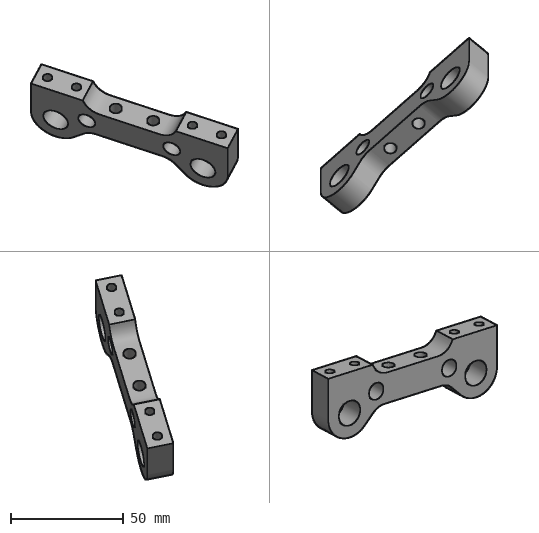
import cadquery as cq
import math

length = 95.0
thickness = 12.0
height = 32.0

lug_radius = thickness
large_bore_diameter = 12.0
lug_x = length / 2 - lug_radius
lug_z = lug_radius

bar_height = 15.0
notch_depth = 6.0
bar_top = height - notch_depth
bar_bottom = bar_top - bar_height
small_bore_diameter = 8.2
small_bore_x = 20.5
small_bore_z = bar_bottom + bar_height / 2

blend_radius = 8.55
notch_half_width = 22.5
notch_wall_angle = math.radians(62)
lug_flank_angle = math.radians(45)

bar_hole_diameter = 5.5
bar_hole_x = 9.0
lug_hole_diameter = 4.2
lug_hole_depth = 12.0
lug_hole_xs = (28.0, 42.0)
drill_tip_angle = math.radians(118)


def half_body():
    """Right half of the plate, from the mid plane out to the lug."""
    notch_corner_x = notch_half_width - notch_depth / math.tan(notch_wall_angle)

    flank_x = lug_x - lug_radius * math.sin(lug_flank_angle)
    flank_z = lug_z - lug_radius * math.cos(lug_flank_angle)
    flank_corner_x = flank_x - (bar_bottom - flank_z) / math.tan(lug_flank_angle)

    outline = (
        cq.Workplane("XZ", origin=(0, thickness / 2, 0))
        .moveTo(0, bar_bottom)
        .lineTo(flank_corner_x, bar_bottom)
        .lineTo(flank_x, flank_z)
        .threePointArc((lug_x, lug_z - lug_radius), (length / 2, lug_z))
        .lineTo(length / 2, height)
        .lineTo(notch_half_width, height)
        .lineTo(notch_corner_x, bar_top)
        .lineTo(0, bar_top)
        .close()
    )
    body = outline.extrude(thickness)
    notch_corner = cq.selectors.NearestToPointSelector((notch_corner_x, 0, bar_top))
    flank_corner = cq.selectors.NearestToPointSelector((flank_corner_x, 0, bar_bottom))
    body = body.edges(notch_corner).fillet(blend_radius)
    return body.edges(flank_corner).fillet(blend_radius)


def cross_bores(diameter, x, z):
    """Mirrored pair of bores running through the plate along Y."""
    return (
        cq.Workplane("XZ", origin=(0, thickness / 2, 0))
        .pushPoints([(-x, z), (x, z)])
        .circle(diameter / 2)
        .extrude(thickness)
    )


def drilled_hole(x):
    """Blind vertical hole with a conical drill tip, cut from a lug top."""
    radius = lug_hole_diameter / 2
    tip_depth = radius / math.tan(drill_tip_angle / 2)
    floor_z = height - lug_hole_depth
    profile = (
        cq.Workplane("XZ")
        .moveTo(0, height)
        .lineTo(radius, height)
        .lineTo(radius, floor_z)
        .lineTo(0, floor_z - tip_depth)
        .close()
    )
    return profile.revolve(360, (0, 0, 0), (0, 1, 0)).translate((x, 0, 0))


right_half = half_body()
result = right_half.union(right_half.mirror("YZ"))

result = result.cut(cross_bores(large_bore_diameter, lug_x, lug_z))
result = result.cut(cross_bores(small_bore_diameter, small_bore_x, small_bore_z))

bar_holes = (
    cq.Workplane("XY")
    .pushPoints([(-bar_hole_x, 0), (bar_hole_x, 0)])
    .circle(bar_hole_diameter / 2)
    .extrude(height)
)
result = result.cut(bar_holes)

for hole_x in lug_hole_xs:
    result = result.cut(drilled_hole(hole_x))
    result = result.cut(drilled_hole(-hole_x))